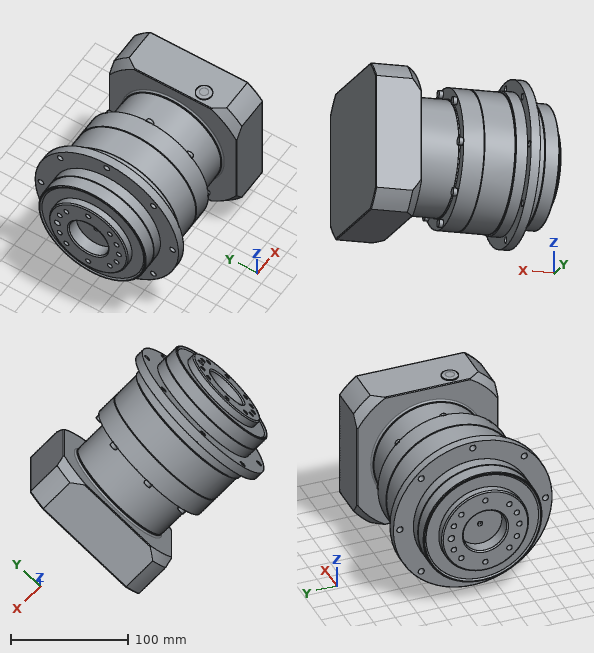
import cadquery as cq
import math

LENGTH = 174.0

NOSE_X = 6.3
NOSE_SEAM_X = 19.5
FLANGE_X = 29.2
SHOULDER_X = 37.4
BODY_X = 47.3
BODY_SEAM_X = 75.2
NECK_X = 94.1
BLOCK_X = 132.8
BLOCK_CONE_END_X = 141.0

OUTPUT_D = 80.0
NOSE_D = 109.3
FLANGE_D = 146.0
SHOULDER_D = 125.0
BODY_D = 122.7
NECK_D = 102.0

OUTPUT_CHAMFER = 1.13
NOSE_CHAMFER = 0.7
NOSE_RECESS_D = 103.5
NOSE_RECESS_WALL = 1.5
NOSE_RECESS_DEPTH = 1.0
BODY_RELIEF_WIDTH = 0.9
GROOVE_DEPTH = 0.5
BODY_SEAM_WIDTH = 0.5
NECK_COLLAR_D = 103.2
NECK_COLLAR_LENGTH = 1.2
NECK_GROOVE_X = 130.5
NECK_GROOVE_DEPTH = 0.61
NECK_FILLET_R = 1.48

BORE_D = 40.0
BORE_DEPTH = 12.5
BORE_CHAMFER = 1.2
CENTRE_HOLE_D = 2.5
CENTRE_HOLE_MOUTH_D = 4.5
CENTRE_HOLE_DEPTH = 5.2
OUTPUT_HOLE_CIRCLE_R = 31.3
OUTPUT_HOLE_D = 4.9
DOWEL_HOLE_D = 6.0
OUTPUT_HOLE_DEPTH = 10.5
DRILL_TIP_ANGLE = 118.0
DOWEL_ANGLE = 0.0
OUTPUT_HOLE_ANGLES = [22.5, 45, 90, 135, 157.5, 180, 202.5, 225, 270, 315, 337.5]

PATTERN_COUNT = 8
FLANGE_HOLE_CIRCLE_R = 67.0
FLANGE_HOLE_D = 5.5
SCREW_CIRCLE_R = 57.2
SCREW_HEAD_D = 7.0
SCREW_HEAD_HEIGHT = 3.7

BLOCK_WIDTH = 130.0
BLOCK_CORNER_R = 81.8
BLOCK_FRONT_R = 75.3
BLOCK_CHAMFER = 0.78

PLUG_X = 143.7
PLUG_Y = -24.7
PLUG_D = 15.0
PLUG_TOP_D = 8.0
PLUG_EDGE_HEIGHT = 1.0
PLUG_HEIGHT = 1.5


def revolve(points):
    """Revolve a closed (x, radius) outline about the X axis."""
    return cq.Workplane("XY").polyline(points).close().revolve(360, (0, 0, 0), (1, 0, 0))


def disc(x, length, diameter, y=0.0, z=0.0):
    """Cylinder along +X, starting at x and centred on (y, z)."""
    return cq.Workplane("YZ", origin=(x, 0, 0)).center(y, z).circle(diameter / 2).extrude(length)


def polar(radius, angle):
    """(y, z) of a point on a circle about the X axis."""
    return radius * math.cos(math.radians(angle)), radius * math.sin(math.radians(angle))


def groove(x, width, diameter):
    """Ring that cuts a square groove into a cylinder of the given diameter."""
    return disc(x, width, diameter).cut(disc(x, width, diameter - 2 * GROOVE_DEPTH))


def drilled_hole(x, depth, diameter, y=0.0, z=0.0):
    """Blind hole along +X with a conical drill tip."""
    radius = diameter / 2
    tip = radius / math.tan(math.radians(DRILL_TIP_ANGLE / 2))
    hole = revolve([(x, 0), (x, radius), (x + depth, radius), (x + depth + tip, 0)])
    return hole.translate((0, y, z))


def make_output():
    output = disc(0, NOSE_X + NOSE_RECESS_DEPTH, OUTPUT_D)
    return output.faces("<X").edges().chamfer(OUTPUT_CHAMFER)


def make_nose():
    radius = NOSE_D / 2
    nose = revolve([
        (NOSE_X, 0),
        (NOSE_X, radius - NOSE_CHAMFER),
        (NOSE_X + NOSE_CHAMFER, radius),
        (NOSE_SEAM_X - NOSE_CHAMFER, radius),
        (NOSE_SEAM_X, radius - NOSE_CHAMFER),
        (NOSE_SEAM_X, radius),
        (FLANGE_X, radius),
        (FLANGE_X, 0),
    ])
    floor_x = NOSE_X + NOSE_RECESS_DEPTH
    floor_r = NOSE_RECESS_D / 2
    return nose.cut(revolve([
        (NOSE_X, 0),
        (NOSE_X, floor_r + NOSE_RECESS_WALL),
        (floor_x, floor_r),
        (floor_x, 0),
    ]))


def make_flange():
    flange = disc(FLANGE_X, SHOULDER_X - FLANGE_X, FLANGE_D)
    for i in range(PATTERN_COUNT):
        y, z = polar(FLANGE_HOLE_CIRCLE_R, i * 360 / PATTERN_COUNT)
        flange = flange.cut(disc(FLANGE_X, SHOULDER_X - FLANGE_X, FLANGE_HOLE_D, y, z))
    return flange


def make_body():
    body = disc(BODY_X, NECK_X - BODY_X, BODY_D)
    body = body.cut(groove(BODY_X, BODY_RELIEF_WIDTH, BODY_D))
    body = body.cut(groove(BODY_SEAM_X, BODY_SEAM_WIDTH, BODY_D))
    for i in range(PATTERN_COUNT):
        y, z = polar(SCREW_CIRCLE_R, i * 360 / PATTERN_COUNT)
        body = body.union(disc(NECK_X, SCREW_HEAD_HEIGHT, SCREW_HEAD_D, y, z))
    return body.union(disc(SHOULDER_X, BODY_X - SHOULDER_X, SHOULDER_D))


def make_neck():
    radius = NECK_D / 2
    foot_r = radius + NECK_FILLET_R
    fillet_start_x = BLOCK_X - NECK_FILLET_R
    arc_reach = NECK_FILLET_R * math.sin(math.radians(45))
    neck = (
        cq.Workplane("XY")
        .moveTo(NECK_X, 0)
        .lineTo(NECK_X, radius)
        .lineTo(NECK_GROOVE_X - NECK_GROOVE_DEPTH, radius)
        .lineTo(NECK_GROOVE_X, radius - NECK_GROOVE_DEPTH)
        .lineTo(NECK_GROOVE_X + NECK_GROOVE_DEPTH, radius)
        .lineTo(fillet_start_x, radius)
        .threePointArc((fillet_start_x + arc_reach, foot_r - arc_reach), (BLOCK_X, foot_r))
        .lineTo(BLOCK_X, 0)
        .close()
        .revolve(360, (0, 0, 0), (1, 0, 0))
    )
    return neck.union(disc(NECK_X, NECK_COLLAR_LENGTH, NECK_COLLAR_D))


def make_block():
    """Square block whose corners are turned round, with a cone at the front."""
    length = LENGTH - BLOCK_X
    block = cq.Workplane("YZ", origin=(BLOCK_X, 0, 0)).rect(BLOCK_WIDTH, BLOCK_WIDTH).extrude(length)
    block = block.faces("<X or >X").edges().chamfer(BLOCK_CHAMFER)
    return block.intersect(revolve([
        (BLOCK_X, 0),
        (BLOCK_X, BLOCK_FRONT_R),
        (BLOCK_CONE_END_X, BLOCK_CORNER_R),
        (LENGTH - BLOCK_CHAMFER, BLOCK_CORNER_R),
        (LENGTH, BLOCK_CORNER_R - BLOCK_CHAMFER),
        (LENGTH, 0),
    ]))


def make_plug():
    """Low round plug with a conical top around a flat centre."""
    outline = [
        (0, 0),
        (PLUG_D / 2, 0),
        (PLUG_D / 2, PLUG_EDGE_HEIGHT),
        (PLUG_TOP_D / 2, PLUG_HEIGHT),
        (0, PLUG_HEIGHT),
    ]
    plug = cq.Workplane("XZ").polyline(outline).close().revolve(360, (0, 0, 0), (0, 1, 0))
    return plug.translate((PLUG_X, PLUG_Y, BLOCK_WIDTH / 2))


def cut_output_holes(part):
    bore_r = BORE_D / 2
    part = part.cut(revolve([
        (0, 0),
        (0, bore_r + BORE_CHAMFER),
        (BORE_CHAMFER, bore_r),
        (BORE_DEPTH, bore_r),
        (BORE_DEPTH, 0),
    ]))

    mouth_r = CENTRE_HOLE_MOUTH_D / 2
    mouth_end_x = BORE_DEPTH + mouth_r
    part = part.cut(revolve([(BORE_DEPTH, 0), (BORE_DEPTH, mouth_r), (mouth_end_x, 0)]))
    part = part.cut(drilled_hole(BORE_DEPTH, CENTRE_HOLE_DEPTH, CENTRE_HOLE_D))

    for angle in OUTPUT_HOLE_ANGLES:
        y, z = polar(OUTPUT_HOLE_CIRCLE_R, angle)
        part = part.cut(drilled_hole(0, OUTPUT_HOLE_DEPTH, OUTPUT_HOLE_D, y, z))
    y, z = polar(OUTPUT_HOLE_CIRCLE_R, DOWEL_ANGLE)
    return part.cut(drilled_hole(0, OUTPUT_HOLE_DEPTH, DOWEL_HOLE_D, y, z))


result = make_output()
for section in (make_nose(), make_flange(), make_body(), make_neck(), make_block(), make_plug()):
    result = result.union(section)
result = cut_output_holes(result)